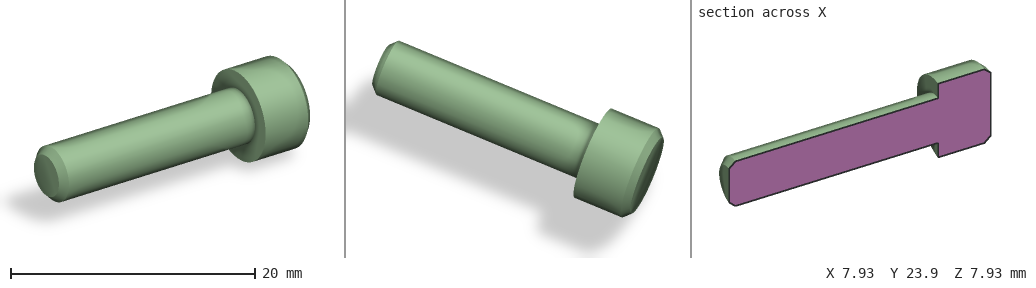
import cadquery as cq

total_length = 23.88
head_diameter = 7.93
head_height = 4.82
shank_diameter = 4.82
head_chamfer = 0.6
tip_chamfer = 0.6

shank_length = total_length - head_height


def make_head():
    """Cylindrical head from Y = 0 towards +Y, bevelled around its outer end."""
    head = cq.Workplane("XZ").circle(head_diameter / 2).extrude(-head_height)
    return head.faces(">Y").chamfer(head_chamfer)


def make_shank():
    """Plain shank from Y = 0 towards -Y, bevelled at its tip."""
    shank = cq.Workplane("XZ").circle(shank_diameter / 2).extrude(shank_length)
    return shank.faces("<Y").chamfer(tip_chamfer)


result = make_head().union(make_shank())